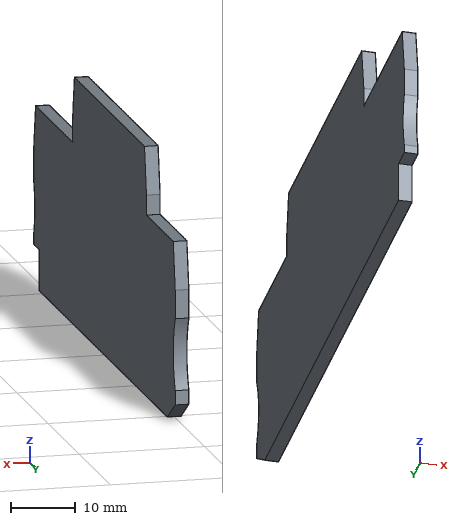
import cadquery as cq

thickness = 2.2
length = 91.15
height = 39.65

shoulder_z = 29.0
taper_inset = 1.3
taper_drop = 7.5
tab_front_setback = 25.0
tab_back_setback = 18.5

notch_depth = 3.6
notch_height = 6.6

front_arc_bottom = 7.9
front_arc_top = 16.95
front_arc_depth = 0.7

back_arc_bottom = 5.5
back_arc_top = 16.95
back_arc_depth = 1.3

corner_length = 5.1
corner_height = 3.2

front_y = -length / 2
back_y = length / 2
bottom_z = -height / 2
top_z = height / 2
shoulder = bottom_z + shoulder_z
tab_front_y = front_y + tab_front_setback
tab_back_y = back_y - tab_back_setback


def above_base(distance):
    """Z position at a given distance above the bottom edge."""
    return bottom_z + distance


def arc_middle_z(arc_bottom, arc_top):
    """Z position midway between the ends of an edge arc."""
    return above_base((arc_bottom + arc_top) / 2)


outline = (
    cq.Workplane("YZ", origin=(-thickness / 2, 0, 0))
    .moveTo(front_y + notch_depth, bottom_z)
    .lineTo(back_y - corner_length, bottom_z)
    .lineTo(back_y, above_base(corner_height))
    .lineTo(back_y, above_base(back_arc_bottom))
    .threePointArc(
        (back_y - back_arc_depth, arc_middle_z(back_arc_bottom, back_arc_top)),
        (back_y, above_base(back_arc_top)),
    )
    .lineTo(back_y, shoulder - taper_drop)
    .lineTo(back_y - taper_inset, shoulder)
    .lineTo(tab_back_y, shoulder)
    .lineTo(tab_back_y, top_z - taper_drop)
    .lineTo(tab_back_y - taper_inset, top_z)
    .lineTo(tab_front_y + taper_inset, top_z)
    .lineTo(tab_front_y, top_z - taper_drop)
    .lineTo(tab_front_y, shoulder)
    .lineTo(front_y + taper_inset, shoulder)
    .lineTo(front_y, shoulder - taper_drop)
    .lineTo(front_y, above_base(front_arc_top))
    .threePointArc(
        (front_y + front_arc_depth, arc_middle_z(front_arc_bottom, front_arc_top)),
        (front_y, above_base(front_arc_bottom)),
    )
    .lineTo(front_y, above_base(notch_height))
    .lineTo(front_y + notch_depth, above_base(notch_height))
    .close()
)

result = outline.extrude(thickness)